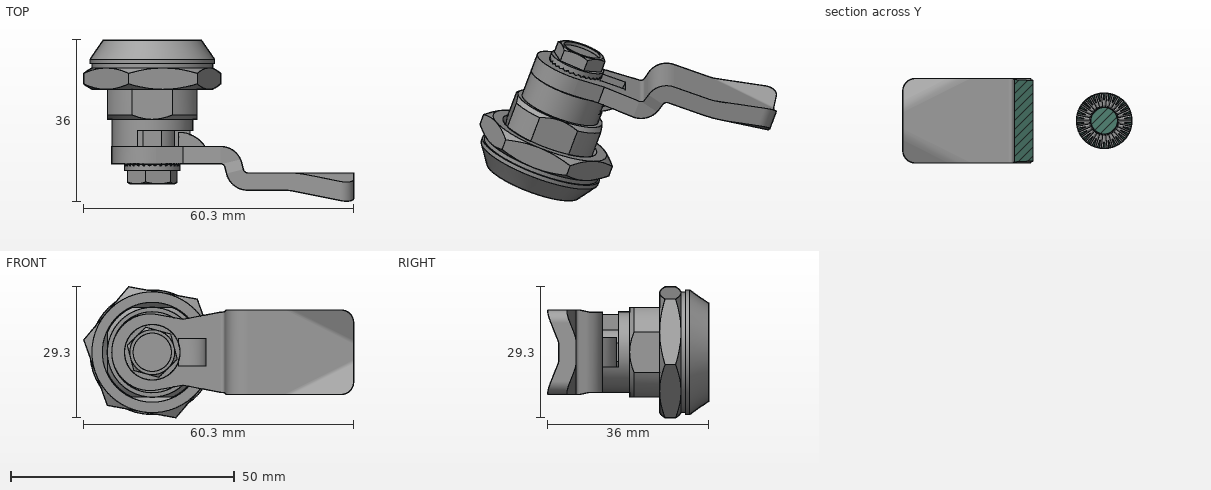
import cadquery as cq
import math


head_radius = 13.95
head_top_radius = 11.0
rim_height = 0.95
cone_height = 4.3
barrel_radius = 11.0
barrel_length = 12.45
barrel_flats = 20.05
barrel_chamfer = barrel_radius - barrel_flats / 2

gasket_radius = 13.5
gasket_thickness = 0.95

nut_flats = 27.0
nut_height = 4.75
nut_turn = 49.8
nut_chamfer_height = 1.2
nut_bore_radius = 10.1
nut_countersink_radius = 11.15

rotor_radius = 9.05
rotor_shoulder = 2.55
notch_height = 3.5
notch_offset = 3.25
post_flats = 9.9
post_radius = 5.4

cam_thickness = 3.9
eye_radius = 8.55
eye_center_x = -0.5
eye_tangent_x = 0.85
neck_x = 6.9
neck_half_width = 7.35
bend_x = 15.25
bend_half_width = 9.0
widening_length = 2.3
arm_half_width = 9.5
arm_end_x = 45.0
arm_corner_radius = 2.9
arm_offset = 5.9
bend_inner_radius = 0.95
bend_angle = 76.0

fold_start_x = 29.65
fold_end_half_width = 1.75
fold_angle = 24.0
fold_radius = 1.8

tab_x = 5.9
tab_half_width = notch_offset
tab_window_half_width = 3.0
tab_inner_radius = 6.05
tab_outer_radius = 7.05

washer_radius = 6.2
washer_thickness = 1.5
tooth_count = 30
tooth_depth = 0.4
bolt_flats = 10.0
bolt_head_height = 2.95
bolt_turn = 44.6
bolt_chamfer_height = 0.4
bolt_rim_radius = 5.0
bolt_dish_radius = 4.3
bolt_dish_depth = 0.7
shank_radius = 3.0

nut_y = -gasket_thickness
barrel_end_y = -barrel_length
notch_y = barrel_end_y - rotor_shoulder
cam_back_y = notch_y - notch_height
cam_front_y = cam_back_y - cam_thickness
bolt_y = cam_front_y - washer_thickness
arm_back_y = cam_back_y - arm_offset
arm_front_y = arm_back_y - cam_thickness


def axial(y, offset_x=0):
    """Workplane across the lock axis at height y; it extrudes towards -Y."""
    return cq.Workplane("XZ", origin=(offset_x, y, 0))


def turned(points):
    """Solid of revolution about the lock axis from (radius, y) points."""
    return cq.Workplane("XY").polyline(points).close().revolve(360, (0, 0, 0), (0, 1, 0))


def hexagon(y, flats, height, turn):
    """Hexagonal prism with its first corner turned from +X towards +Z."""
    corner_radius = flats / math.sqrt(3)
    prism = axial(y).polygon(6, 2 * corner_radius).extrude(height)
    return prism.rotate((0, 0, 0), (0, 1, 0), -turn)


def make_barrel():
    small_radius = barrel_radius - barrel_chamfer
    core = turned([
        (0, 0),
        (barrel_radius, 0),
        (barrel_radius, barrel_end_y + barrel_chamfer),
        (small_radius, barrel_end_y),
        (0, barrel_end_y),
    ])
    return core.intersect(axial(0).rect(barrel_flats, barrel_flats).extrude(barrel_length))


def make_housing():
    head = turned([
        (0, 0),
        (head_radius, 0),
        (head_radius, rim_height),
        (head_top_radius, rim_height + cone_height),
        (0, rim_height + cone_height),
    ])
    bore = axial(0).circle(rotor_radius).extrude(barrel_length)
    return head.union(make_barrel()).cut(bore)


def make_gasket():
    return axial(0).circle(gasket_radius).circle(barrel_radius).extrude(gasket_thickness)


def make_nut():
    corner_radius = nut_flats / math.sqrt(3)
    face_radius = nut_flats / 2
    nut_end_y = nut_y - nut_height
    countersink = nut_countersink_radius - nut_bore_radius
    chamfered_ring = turned([
        (nut_bore_radius, nut_y),
        (face_radius, nut_y),
        (corner_radius, nut_y - nut_chamfer_height),
        (corner_radius, nut_end_y + nut_chamfer_height),
        (face_radius, nut_end_y),
        (nut_countersink_radius, nut_end_y),
        (nut_bore_radius, nut_end_y + countersink),
    ])
    nut = hexagon(nut_y, nut_flats, nut_height, nut_turn).intersect(chamfered_ring)
    return nut.cut(make_barrel())


def make_post():
    """Drive post with four flats, from the notch to the front of the cam."""
    length = notch_height + cam_thickness
    round_post = axial(notch_y).circle(post_radius).extrude(length)
    return round_post.intersect(axial(notch_y).rect(post_flats, post_flats).extrude(length))


def make_rotor():
    body = axial(0).circle(rotor_radius).extrude(-cam_back_y)
    notch_size = rotor_radius + notch_offset
    notch = (
        axial(notch_y)
        .rect(notch_size, notch_size, centered=False)
        .extrude(notch_height)
        .translate((-notch_offset, 0, -notch_offset))
    )
    screw_hole = axial(notch_y).circle(shank_radius).extrude(notch_height + cam_thickness)
    return body.cut(notch).union(make_post()).cut(screw_hole)


def make_eye_and_bend():
    """Eye, neck and S-bend, and the X where the flat arm starts.

    The side profile is cut to the outline of the plate.
    """
    sine = math.sin(math.radians(bend_angle))
    cosine = math.cos(math.radians(bend_angle))
    outer_radius = bend_inner_radius + cam_thickness
    radius_sum = bend_inner_radius + outer_radius
    slope_length = (arm_offset - radius_sum * (1 - cosine)) / sine
    flat_x = bend_x + radius_sum * sine + slope_length * cosine
    half_sine = math.sin(math.radians(bend_angle / 2))
    half_cosine = math.cos(math.radians(bend_angle / 2))
    bend_start = (bend_x, cam_front_y)
    bend_end = (flat_x, arm_back_y)
    first_center_y = cam_back_y - outer_radius
    second_center_y = arm_back_y + bend_inner_radius

    def first_bend(radius, along, across):
        return (bend_x + radius * along, first_center_y + radius * across)

    def second_bend(radius, along, across):
        return (flat_x - radius * along, second_center_y - radius * across)

    def middle_of(bend, radius):
        return bend(radius, half_sine, half_cosine)

    eye_x = eye_center_x - eye_radius
    flat_end_x = flat_x + cam_thickness
    profile = (
        cq.Workplane("XY", origin=(0, 0, -arm_half_width))
        .moveTo(eye_x, cam_back_y)
        .lineTo(bend_x, cam_back_y)
        .threePointArc(middle_of(first_bend, outer_radius), first_bend(outer_radius, sine, cosine))
        .lineTo(*second_bend(bend_inner_radius, sine, cosine))
        .threePointArc(middle_of(second_bend, bend_inner_radius), bend_end)
        .lineTo(flat_end_x, arm_back_y)
        .lineTo(flat_end_x, arm_front_y)
        .lineTo(flat_x, arm_front_y)
        .threePointArc(middle_of(second_bend, outer_radius), second_bend(outer_radius, sine, cosine))
        .lineTo(*first_bend(bend_inner_radius, sine, cosine))
        .threePointArc(middle_of(first_bend, bend_inner_radius), bend_start)
        .lineTo(eye_x, cam_front_y)
        .close()
        .extrude(2 * arm_half_width)
    )
    tangent_rise = math.sqrt(eye_radius**2 - (eye_tangent_x - eye_center_x) ** 2)
    outline = (
        axial(cam_back_y)
        .moveTo(eye_tangent_x, tangent_rise)
        .lineTo(neck_x, neck_half_width)
        .lineTo(bend_x, bend_half_width)
        .lineTo(bend_x, arm_half_width)
        .lineTo(flat_end_x, arm_half_width)
        .lineTo(flat_end_x, -arm_half_width)
        .lineTo(bend_x, -arm_half_width)
        .lineTo(bend_x, -bend_half_width)
        .lineTo(neck_x, -neck_half_width)
        .lineTo(eye_tangent_x, -tangent_rise)
        .threePointArc((eye_x, 0), (eye_tangent_x, tangent_rise))
        .close()
        .extrude(cam_back_y - arm_front_y)
    )

    slope_end_x, slope_end_y = second_bend(bend_inner_radius, sine, cosine)
    slope_plane = cq.Plane(
        origin=(slope_end_x, slope_end_y, 0),
        xDir=(cosine, -sine, 0),
        normal=(sine, cosine, 0),
    )
    before_bend = -(arm_offset + cam_thickness)
    side_cut = (
        cq.Workplane(slope_plane)
        .moveTo(before_bend, bend_half_width)
        .lineTo(-widening_length, bend_half_width)
        .lineTo(0, arm_half_width)
        .lineTo(before_bend, arm_half_width)
        .close()
        .extrude(2 * cam_thickness, both=True)
    )
    plate = profile.intersect(outline).cut(side_cut).cut(side_cut.mirror("XY"))
    return plate, flat_x


def make_arm(start_x):
    """Flat arm whose two end corners are folded towards -Y."""
    length = arm_end_x - start_x
    sine = math.sin(math.radians(fold_angle))
    cosine = math.cos(math.radians(fold_angle))
    half_sine = math.sin(math.radians(fold_angle / 2))
    half_cosine = math.cos(math.radians(fold_angle / 2))
    outer_radius = fold_radius + cam_thickness
    center_depth = cam_thickness + fold_radius

    def fold_point(radius, along, across):
        return (radius * along, center_depth - radius * across)

    back_x, back_depth = fold_point(outer_radius, sine, cosine)
    front_x, front_depth = fold_point(fold_radius, sine, cosine)
    run = length * cosine
    drop = length * sine

    fold_run = arm_end_x - fold_start_x
    fold_rise = fold_end_half_width - arm_half_width
    fold_plane = cq.Plane(
        origin=(fold_start_x, arm_back_y, arm_half_width),
        xDir=(-fold_rise, 0, fold_run),
        normal=(fold_run, 0, fold_rise),
    )
    folded_sheet = (
        cq.Workplane(fold_plane)
        .moveTo(-length, 0)
        .lineTo(0, 0)
        .threePointArc(fold_point(outer_radius, half_sine, half_cosine), (back_x, back_depth))
        .lineTo(back_x + run, back_depth + drop)
        .lineTo(front_x + run, front_depth + drop)
        .lineTo(front_x, front_depth)
        .threePointArc(fold_point(fold_radius, half_sine, half_cosine), (0, cam_thickness))
        .lineTo(-length, cam_thickness)
        .close()
        .extrude(length, both=True)
    )
    half_outline = (
        axial(arm_back_y, start_x)
        .rect(length, arm_half_width, centered=False)
        .extrude(length)
        .edges("|Y and >X and >Z")
        .fillet(arm_corner_radius)
    )
    half_arm = folded_sheet.intersect(half_outline)
    return half_arm.union(half_arm.mirror("XY"))


def make_cam():
    eye_and_bend, flat_x = make_eye_and_bend()
    cam = eye_and_bend.union(make_arm(flat_x))

    def tab_quarter(radius, half_width):
        quarter = (
            cq.Workplane("XY", origin=(tab_x, cam_front_y, -half_width))
            .moveTo(0, 0)
            .lineTo(radius, 0)
            .threePointArc((radius * math.sqrt(0.5), radius * math.sqrt(0.5)), (0, radius))
            .close()
        )
        return quarter.extrude(2 * half_width)

    cam = cam.union(tab_quarter(tab_outer_radius, tab_half_width))
    cam = cam.cut(tab_quarter(tab_inner_radius, tab_window_half_width))
    return cam.cut(make_post())


def make_washer():
    washer = axial(cam_front_y).circle(washer_radius).circle(shank_radius).extrude(washer_thickness)
    half_tooth = washer_radius * math.sin(math.pi / tooth_count)
    groove = (
        cq.Workplane("YZ")
        .polyline([
            (cam_front_y, -half_tooth),
            (cam_front_y - tooth_depth, 0),
            (cam_front_y, half_tooth),
        ])
        .close()
        .extrude(washer_radius + tooth_depth)
    )
    for tooth in range(tooth_count):
        washer = washer.cut(groove.rotate((0, 0, 0), (0, 1, 0), tooth * 360 / tooth_count))
    return washer


def make_bolt():
    corner_radius = bolt_flats / math.sqrt(3)
    bolt_end_y = bolt_y - bolt_head_height
    head_envelope = turned([
        (0, bolt_y),
        (corner_radius, bolt_y),
        (corner_radius, bolt_end_y + bolt_chamfer_height),
        (bolt_rim_radius, bolt_end_y),
        (bolt_dish_radius, bolt_end_y),
        (bolt_dish_radius, bolt_end_y + bolt_dish_depth),
        (0, bolt_end_y + bolt_dish_depth),
    ])
    head = hexagon(bolt_y, bolt_flats, bolt_head_height, bolt_turn).intersect(head_envelope)
    shank = axial(notch_y).circle(shank_radius).extrude(notch_y - bolt_y)
    return head.union(shank)


housing = make_housing()
gasket = make_gasket()
nut = make_nut()
rotor = make_rotor()
cam = make_cam()
washer = make_washer()
bolt = make_bolt()

result = cq.Compound.makeCompound([
    housing.val(),
    gasket.val(),
    nut.val(),
    rotor.val(),
    cam.val(),
    washer.val(),
    bolt.val(),
])